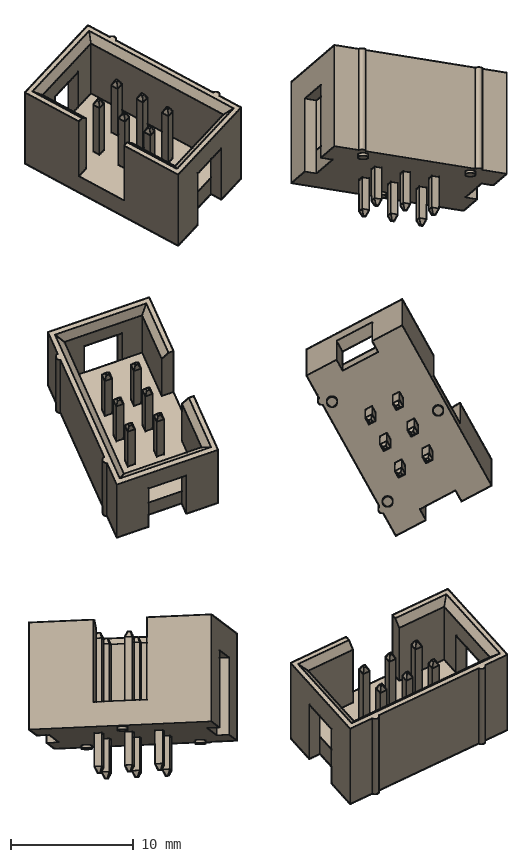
import cadquery as cq

length = 15.28
depth = 8.86
height = 8.86
wall = 1.04
rim = 0.45
bevel_depth = 0.61
floor_top = 2.05

notch_width = 4.49

window_width = 3.29
window_top = 6.39

rib_height = 0.25
rib_base_width = 0.63
rib_spacing = 10.33

foot_diameter = 0.85
foot_height = 0.25
foot_x = 4.75
foot_y = 3.62

pin_columns = 3
pin_rows = 2
pin_pitch = 2.54
pin_width = 0.64
pin_tip_width = 0.23
pin_taper = 0.49
pin_top = 8.35
pin_bottom = -3.24


def make_shell():
    """Rectangular box with an open cavity whose rim is bevelled inward."""
    shell = cq.Workplane("XY").box(length, depth, height, centered=(True, True, False))
    cavity = (
        cq.Workplane("XY")
        .workplane(offset=floor_top)
        .rect(length - 2 * wall, depth - 2 * wall)
        .extrude(height - floor_top)
    )
    bevel = (
        cq.Workplane("XY")
        .workplane(offset=height - bevel_depth)
        .rect(length - 2 * wall, depth - 2 * wall)
        .workplane(offset=bevel_depth)
        .rect(length - 2 * rim, depth - 2 * rim)
        .loft(ruled=True)
    )
    return shell.cut(cavity).cut(bevel)


def make_notch():
    """Slot through the -Y wall, open at the top and level with the floor."""
    return (
        cq.Workplane("XY")
        .box(notch_width, wall, height - floor_top, centered=(True, False, False))
        .translate((0, -depth / 2, floor_top))
    )


def make_windows():
    """One opening through each end wall, open at the underside."""
    window = cq.Workplane("XY").box(wall, window_width, window_top, centered=(True, True, False))
    window_x = (length - wall) / 2
    return window.translate((-window_x, 0, 0)).union(window.translate((window_x, 0, 0)))


def make_ribs():
    """Two full-height ribs with a round crest on the +Y wall."""
    half_base = rib_base_width / 2
    back = depth / 2
    rib = (
        cq.Workplane("XY")
        .moveTo(-half_base, back)
        .threePointArc((0, back + rib_height), (half_base, back))
        .close()
        .extrude(height)
    )
    return rib.translate((-rib_spacing / 2, 0, 0)).union(rib.translate((rib_spacing / 2, 0, 0)))


def make_feet():
    """Three round standoffs: two near the rear corners, one at the middle of the front."""
    return (
        cq.Workplane("XY")
        .pushPoints([(-foot_x, foot_y), (foot_x, foot_y), (0, -foot_y)])
        .circle(foot_diameter / 2)
        .extrude(-foot_height)
    )


def make_taper(z_base, direction):
    """Square pin point that narrows away from z_base, upward (1) or downward (-1)."""
    return (
        cq.Workplane("XY")
        .workplane(offset=z_base)
        .rect(pin_width, pin_width)
        .workplane(offset=direction * pin_taper)
        .rect(pin_tip_width, pin_tip_width)
        .loft(ruled=True)
    )


def make_pin(x, y):
    """Square pin, pointed at both ends."""
    shank_bottom = pin_bottom + pin_taper
    shank_top = pin_top - pin_taper
    shank = (
        cq.Workplane("XY")
        .workplane(offset=shank_bottom)
        .rect(pin_width, pin_width)
        .extrude(shank_top - shank_bottom)
    )
    pin = shank.union(make_taper(shank_top, 1)).union(make_taper(shank_bottom, -1))
    return pin.translate((x, y, 0))


def make_pins():
    """Grid of pins centred on the housing, each a separate solid."""
    pins = []
    for column in range(pin_columns):
        for row in range(pin_rows):
            x = (column - (pin_columns - 1) / 2) * pin_pitch
            y = (row - (pin_rows - 1) / 2) * pin_pitch
            pins.append(make_pin(x, y))
    return pins


def make_housing(pins):
    """Shroud with its notch, windows, ribs and feet, and a matching hole for each pin."""
    housing = make_shell().cut(make_notch()).cut(make_windows())
    housing = housing.union(make_ribs()).union(make_feet())
    for pin in pins:
        housing = housing.cut(pin)
    return housing


pins = make_pins()
housing = make_housing(pins)

result = cq.Compound.makeCompound([housing.val()] + [pin.val() for pin in pins])